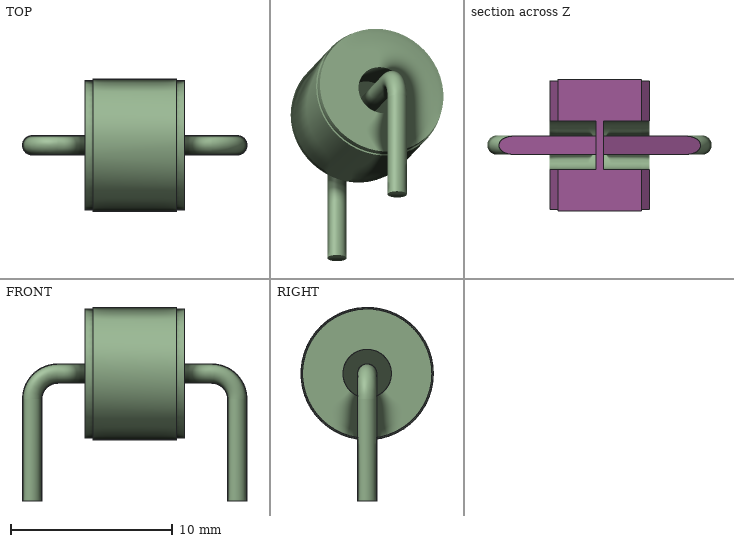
import cadquery as cq
import math

overall_span = 13.9
housing_diameter = 8.2
housing_length = 5.2
cap_diameter = 8.0
cap_thickness = 0.49
bore_diameter = 3.0
web_thickness = 0.49
lead_diameter = 1.2
bend_radius = 1.58
leg_drop = 7.9

housing_end = housing_length / 2
web_face = web_thickness / 2
recess_depth = housing_end - web_face
leg_x = (overall_span - lead_diameter) / 2
bend_start_x = leg_x - bend_radius
bend_mid_offset = bend_radius * math.sqrt(0.5)


def make_housing():
    """Cylinder with a blind round recess in each end."""
    body = (
        cq.Workplane("YZ", origin=(-housing_end, 0, 0))
        .circle(housing_diameter / 2)
        .extrude(housing_length)
    )
    for recess_start in (-housing_end, web_face):
        recess = (
            cq.Workplane("YZ", origin=(recess_start, 0, 0))
            .circle(bore_diameter / 2)
            .extrude(recess_depth)
        )
        body = body.cut(recess)
    return body


def make_end_cap(side):
    """Ring on one housing end; side is -1 or +1 along X."""
    return (
        cq.Workplane("YZ", origin=(side * housing_end, 0, 0))
        .circle(cap_diameter / 2)
        .circle(bore_diameter / 2)
        .extrude(side * cap_thickness)
    )


def make_lead(side):
    """Round wire from the recess floor, bent down at the leg."""
    bend = cq.Edge.makeThreePointArc(
        cq.Vector(side * bend_start_x, 0, 0),
        cq.Vector(side * (bend_start_x + bend_mid_offset), 0, bend_mid_offset - bend_radius),
        cq.Vector(side * leg_x, 0, -bend_radius),
    )
    run = cq.Edge.makeLine(cq.Vector(side * web_face, 0, 0), bend.startPoint())
    leg = cq.Edge.makeLine(bend.endPoint(), cq.Vector(side * leg_x, 0, -leg_drop))
    centreline = cq.Wire.assembleEdges([run, bend, leg])
    return (
        cq.Workplane("YZ", origin=(side * web_face, 0, 0))
        .circle(lead_diameter / 2)
        .sweep(cq.Workplane(centreline))
    )


housing = make_housing()
sides = (-1, 1)
end_caps = [make_end_cap(side) for side in sides]
leads = [make_lead(side) for side in sides]

result = cq.Compound.makeCompound([
    housing.val(),
    *[cap.val() for cap in end_caps],
    *[lead.val() for lead in leads],
])